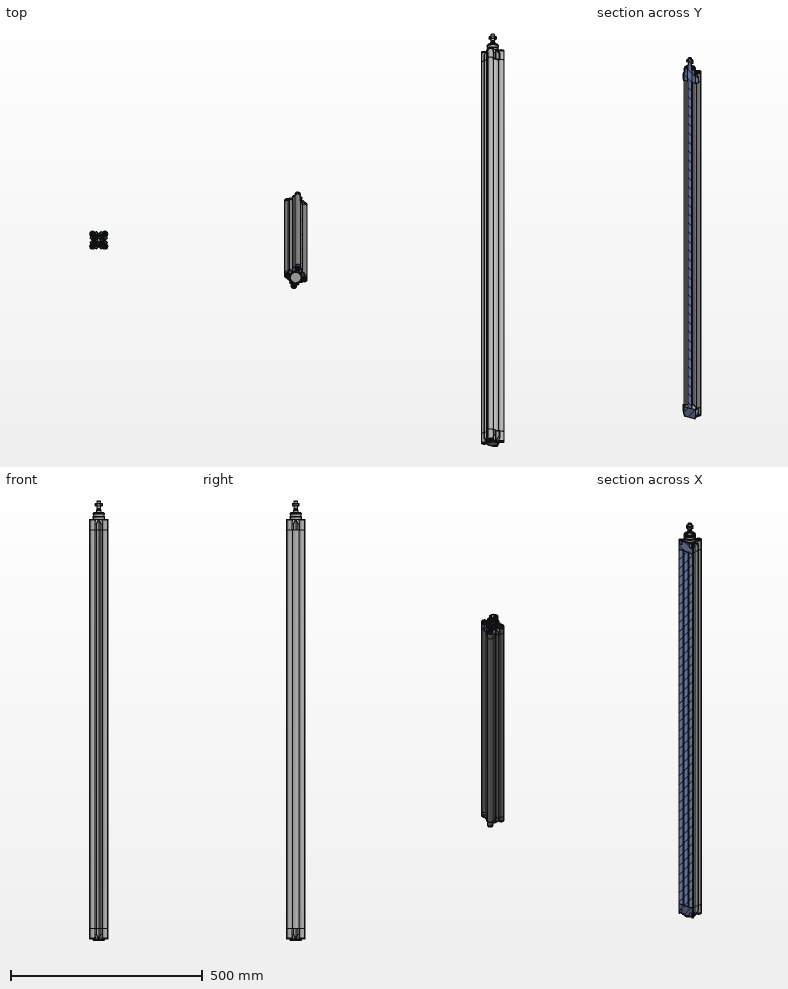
import cadquery as cq
import math

stroke = 1000.0
dead_length = 94.0
body_length = stroke + dead_length
cap_length = 27.0
tube_length = body_length - 2 * cap_length
body_width = 47.0
bolt_spacing = 32.5
bore_diameter = 32.0
rod_diameter = 12.0

rear_spigot_length = 4.0
shoulder_height = 26.0
thread_length = 22.0
overall_length = rear_spigot_length + body_length + shoulder_height + thread_length
rear_face_z = -overall_length / 2 + rear_spigot_length
tube_start_z = rear_face_z + cap_length
tube_end_z = tube_start_z + tube_length
front_face_z = rear_face_z + body_length
shoulder_z = front_face_z + shoulder_height
rod_tip_z = shoulder_z + thread_length

lobe_offset = bolt_spacing / 2
lobe_radius = body_width / 2 - lobe_offset

groove_mouth_radius = 23.0
groove_depth = 6.4

barrel_radius = 17.8
slot_wall_radius = 23.0
slot_wall_width = 22.0
slot_angles = (0, 180)

cap_core_radius = 23.0
cone_length = 12.0
cone_radial_drop = 6.0
screw_recess_diameter = 10.0
screw_recess_depth = 2.0
screw_thread_diameter = 4.92
screw_thread_depth = 12.0

collar_diameter = 30.0
collar_length = 18.0
collar_chamfer = 2.0
spigot_chamfer = 1.0
collar_neck_diameter = 28.0
collar_base_length = 6.0
collar_ramp_length = 2.0
collar_rim_length = 4.0
scraper_seat_diameter = 22.0
scraper_seat_depth = 2.0
scraper_bore_diameter = 16.0
scraper_bore_depth = 5.0

thread_diameter = 10.0
thread_chamfer = 1.0
relief_diameter = 8.57
relief_length = 3.0
shoulder_taper_length = 3.0
nut_across_flats = 16.0
nut_height = 6.0
nut_bevel_angle = math.radians(30)
nut_top_inset = 7.0


def cylinder(diameter, start_z, length):
    return cq.Workplane("XY").workplane(offset=start_z).circle(diameter / 2).extrude(length)


def corner_lobes(start_z, length):
    plane = cq.Workplane("XY").workplane(offset=start_z)
    centres = plane.rect(bolt_spacing, bolt_spacing, forConstruction=True).vertices()
    return centres.circle(lobe_radius).extrude(length)


def side_groove(start_z, length, angle):
    bottom_y = groove_depth - groove_mouth_radius
    outer_y = -body_width / 2
    half_width = bottom_y - outer_y
    groove = (
        cq.Workplane("XY").workplane(offset=start_z)
        .polyline([(0, bottom_y), (-half_width, outer_y), (half_width, outer_y)])
        .close()
        .extrude(length)
    )
    return groove.rotate((0, 0, 0), (0, 0, 1), angle)


def make_tube():
    body = cylinder(2 * barrel_radius, tube_start_z, tube_length)
    plane = cq.Workplane("XY").workplane(offset=tube_start_z)
    slot_band = plane.rect(slot_wall_width, body_width).extrude(tube_length)
    slot_wall = cylinder(2 * slot_wall_radius, tube_start_z, tube_length).intersect(slot_band)
    body = body.union(slot_wall).union(corner_lobes(tube_start_z, tube_length))
    for angle in slot_angles:
        body = body.cut(side_groove(tube_start_z, tube_length, angle))
    return body.cut(cylinder(bore_diameter, tube_start_z, tube_length))


def make_cap_blank():
    """Cap with its inner face at Z = 0 and its end face at Z = cap_length."""
    end_radius = cap_core_radius - cone_radial_drop
    core = (
        cq.Workplane("XZ")
        .moveTo(0, 0)
        .lineTo(cap_core_radius, 0)
        .lineTo(cap_core_radius, cap_length - cone_length)
        .lineTo(end_radius, cap_length)
        .lineTo(0, cap_length)
        .close()
        .revolve(360, (0, 0, 0), (0, 1, 0))
    )
    cap = core.union(corner_lobes(0, cap_length))
    for angle in (0, 90, 180, 270):
        cap = cap.cut(side_groove(0, cap_length, angle))
    return (
        cap.faces(">Z").workplane(origin=(0, 0, cap_length))
        .rect(bolt_spacing, bolt_spacing, forConstruction=True)
        .vertices()
        .cboreHole(screw_thread_diameter, screw_recess_diameter, screw_recess_depth, screw_thread_depth)
    )


def make_collar():
    """Turned collar standing on Z = 0."""
    outer = collar_diameter / 2
    neck = collar_neck_diameter / 2
    neck_end_z = collar_length - collar_rim_length
    return (
        cq.Workplane("XZ")
        .lineTo(outer, 0)
        .lineTo(outer, collar_base_length)
        .lineTo(neck, collar_base_length + collar_ramp_length)
        .lineTo(neck, neck_end_z)
        .lineTo(outer, neck_end_z)
        .lineTo(outer, collar_length - collar_chamfer)
        .lineTo(outer - collar_chamfer, collar_length)
        .lineTo(0, collar_length)
        .close()
        .revolve(360, (0, 0, 0), (0, 1, 0))
    )


def make_front_cap():
    cap = make_cap_blank().translate((0, 0, tube_end_z))
    cap = cap.union(make_collar().translate((0, 0, front_face_z)))
    collar_end_z = front_face_z + collar_length
    seat = cylinder(scraper_seat_diameter, collar_end_z - scraper_seat_depth, scraper_seat_depth)
    scraper_bore = cylinder(scraper_bore_diameter, collar_end_z - scraper_bore_depth, scraper_bore_depth)
    rod_hole = cylinder(rod_diameter, tube_end_z, cap_length + collar_length)
    return cap.cut(seat).cut(scraper_bore).cut(rod_hole)


def make_rear_cap():
    cap = make_cap_blank().rotate((0, 0, 0), (1, 0, 0), 180).translate((0, 0, tube_start_z))
    spigot_start_z = rear_face_z - rear_spigot_length
    spigot = cylinder(collar_diameter, spigot_start_z, rear_spigot_length).faces("<Z").chamfer(spigot_chamfer)
    return cap.union(spigot)


def make_rod():
    shaft = cylinder(rod_diameter, tube_start_z, shoulder_z - tube_start_z)
    taper_depth = (rod_diameter - thread_diameter) / 2
    shaft = shaft.faces(">Z").chamfer(shoulder_taper_length, taper_depth)
    relief = cylinder(relief_diameter, shoulder_z, relief_length)
    thread_z = shoulder_z + relief_length
    thread = cylinder(thread_diameter, thread_z, rod_tip_z - thread_z).faces(">Z").chamfer(thread_chamfer)
    return shaft.union(relief).union(thread)


def make_nut():
    corner_diameter = nut_across_flats / math.cos(math.pi / 6)
    start_z = rod_tip_z - nut_top_inset - nut_height
    blank = cq.Workplane("XY").workplane(offset=start_z).polygon(6, corner_diameter).extrude(nut_height)
    corner_overhang = (corner_diameter - nut_across_flats) / 2
    bevel = cylinder(corner_diameter, start_z, nut_height).edges("%CIRCLE")
    bevel = bevel.chamfer(corner_overhang * math.tan(nut_bevel_angle), corner_overhang)
    return blank.intersect(bevel).cut(cylinder(thread_diameter, start_z, nut_height))


tube = make_tube()
front_cap = make_front_cap()
rear_cap = make_rear_cap()
rod = make_rod()
nut = make_nut()

result = cq.Compound.makeCompound([tube.val(), front_cap.val(), rear_cap.val(), rod.val(), nut.val()])